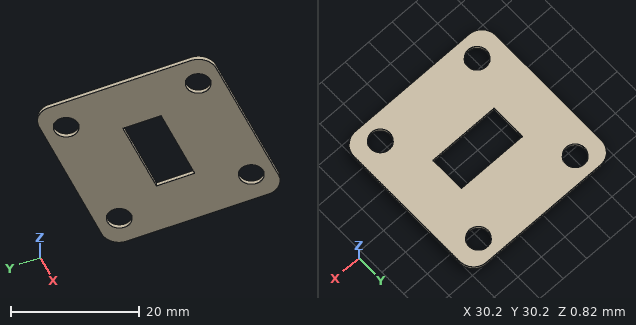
import cadquery as cq

plate_side = 30.2
plate_thickness = 0.82
corner_radius = 3.02

window_length = 12.95
window_width = window_length / 2

hole_diameter = 4.0
hole_spacing_x = 20.57
hole_spacing_y = 22.5

plate = (
    cq.Workplane("XY")
    .rect(plate_side, plate_side)
    .extrude(plate_thickness)
    .edges("|Z")
    .fillet(corner_radius)
)

windowed_plate = (
    plate.faces(">Z")
    .workplane()
    .rect(window_length, window_width)
    .cutThruAll()
)

result = (
    windowed_plate.faces(">Z")
    .workplane(origin=(0, 0, plate_thickness))
    .rect(hole_spacing_x, hole_spacing_y, forConstruction=True)
    .vertices()
    .hole(hole_diameter)
)